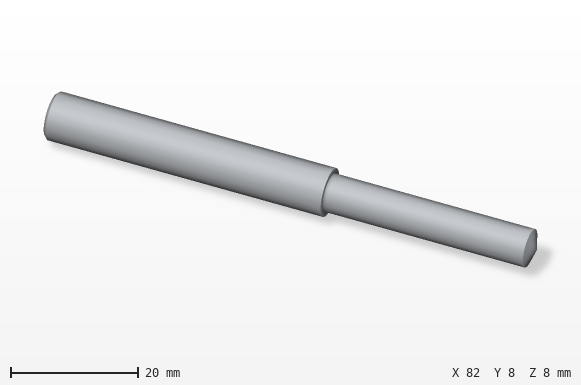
import cadquery as cq
import math

total_length = 82.0
shank_diameter = 8.0
shank_length = 47.0
shank_chamfer = 0.5
body_diameter = 6.3
point_angle = 140.0

shank_radius = shank_diameter / 2
body_radius = body_diameter / 2
point_length = body_radius / math.tan(math.radians(point_angle / 2))


def pin_profile():
    """Half section in the XY plane, with the X axis as its straight edge."""
    return (
        cq.Workplane("XY")
        .moveTo(0, 0)
        .lineTo(0, shank_radius - shank_chamfer)
        .lineTo(shank_chamfer, shank_radius)
        .lineTo(shank_length, shank_radius)
        .lineTo(shank_length, body_radius)
        .lineTo(total_length - point_length, body_radius)
        .lineTo(total_length, 0)
        .close()
    )


result = pin_profile().revolve(360, (0, 0, 0), (1, 0, 0))